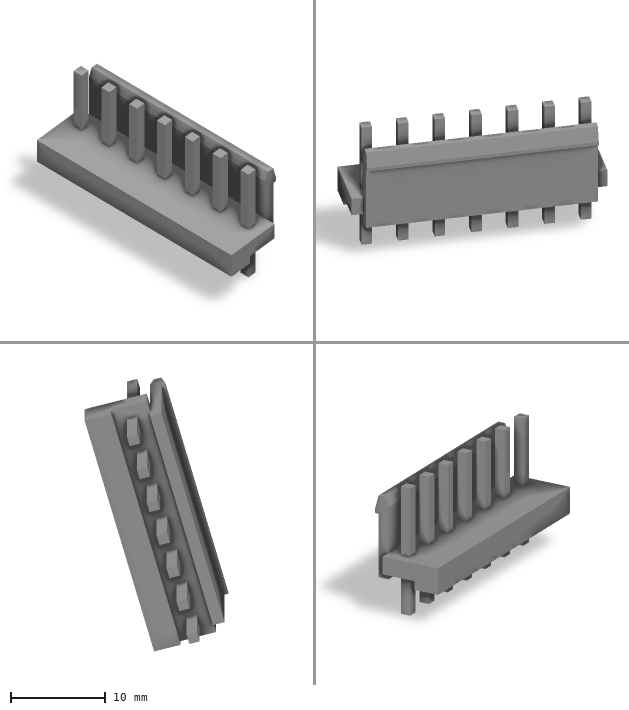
import cadquery as cq

base_length = 27.65
base_depth = 6.8
base_bottom = 3.65
base_top = 6.67
foot_depth = 2.9
foot_height = 1.0

pin_count = 7
pin_pitch = 3.95
pin_width = 1.13
pin_length = 14.4
pin_y = 4.8

latch_length = 25.1
wall_thickness = 1.25
latch_top = 12.92
hook_overhang = 0.45
hook_bottom = 10.85
hook_lip_height = 0.41
tip_chamfer_depth = 0.41
tip_chamfer_height = 1.05


def extrude_along_x(outline, length):
    """Extrude a closed (Y, Z) outline symmetrically about X = 0."""
    return cq.Workplane("YZ").polyline(outline).close().extrude(length / 2, both=True)


def make_base():
    step_z = base_bottom + foot_height
    outline = [
        (0, base_bottom),
        (foot_depth, base_bottom),
        (foot_depth, step_z),
        (base_depth, step_z),
        (base_depth, base_top),
        (0, base_top),
    ]
    return extrude_along_x(outline, base_length)


def make_latch():
    wall_back = base_depth + wall_thickness
    hook_back = wall_back + hook_overhang
    outline = [
        (base_depth, base_bottom),
        (wall_back, base_bottom),
        (wall_back, hook_bottom),
        (hook_back, hook_bottom),
        (hook_back, hook_bottom + hook_lip_height),
        (wall_back, latch_top),
        (base_depth + tip_chamfer_depth, latch_top),
        (base_depth, latch_top - tip_chamfer_height),
    ]
    return extrude_along_x(outline, latch_length)


def make_pins():
    first_x = -pin_pitch * (pin_count - 1) / 2
    centers = [(first_x + i * pin_pitch, pin_y) for i in range(pin_count)]
    return cq.Workplane("XY").pushPoints(centers).rect(pin_width, pin_width).extrude(pin_length)


result = make_base().union(make_latch()).union(make_pins())